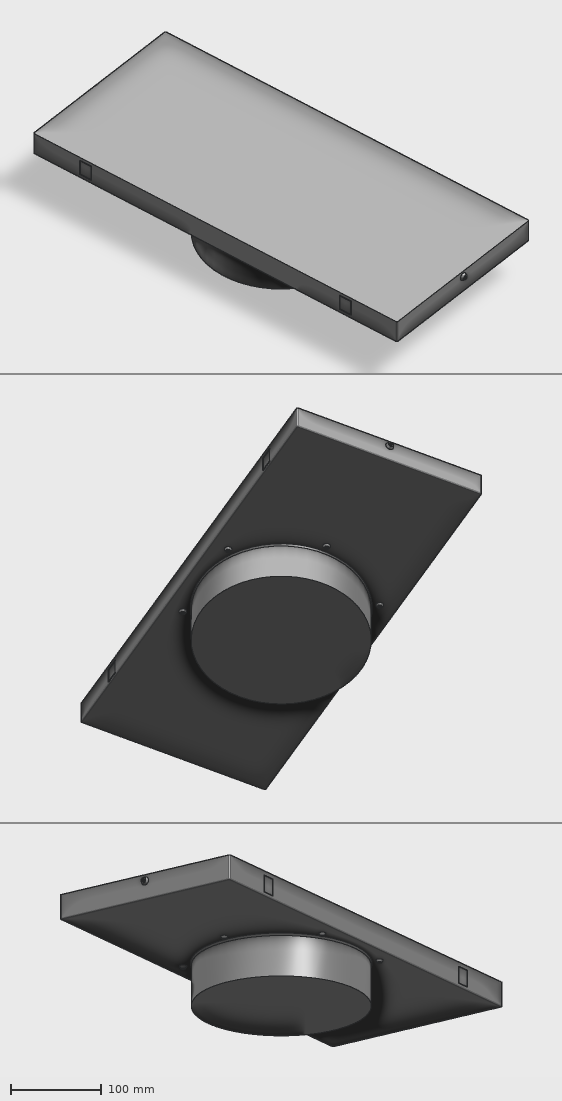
import cadquery as cq
import math

overall_length = 526.5
overall_width = 230.0
overall_height = 79

panel_thickness = 29.0
corner_radius = 1.5
bottom_edge_radius = 1.0

spigot_radius = 99.5
collar_radius = 100.5
collar_height = 2.5

head_taper = 1.5
head_embed = 1.0
socket_radius = 1.5
socket_depth = 1.5

side_head_radius = 5.0
side_head_height = 3.0
side_head_drop = 7.5

ring_head_radius = 4.0
ring_head_height = 2.5
ring_radius = 109.0
ring_count = 6

window_width = 16.5
window_height = 19.5
window_depth = 1.0
window_spacing = 371.0
window_drop = 15.0

panel_length = overall_length - 2 * side_head_height
spigot_bottom = -overall_height
collar_bottom = -panel_thickness - collar_height


def make_panel():
    """Panel with rounded vertical corners, a rounded bottom rim and a sharp top rim."""
    panel = cq.Workplane("XY").box(
        panel_length, overall_width, panel_thickness, centered=(True, True, False)
    )
    panel = panel.translate((0, 0, -panel_thickness))
    panel = panel.edges("|Z").fillet(corner_radius)
    return panel.faces("<Z").edges().fillet(bottom_edge_radius)


def make_spigot():
    """Solid round spigot whose collar flares out where it meets the panel."""
    profile = [
        (0, -panel_thickness),
        (collar_radius, -panel_thickness),
        (spigot_radius, collar_bottom),
        (spigot_radius, spigot_bottom),
        (0, spigot_bottom),
    ]
    return cq.Workplane("XZ").polyline(profile).close().revolve(360, (0, 0, 0), (0, 1, 0))


def make_screw_head(position, direction, radius, height):
    """Tapered head with a round socket, on a short shank sunk into the panel."""
    seat = cq.Workplane(cq.Plane(origin=position, normal=direction))
    shank = seat.circle(radius).extrude(-head_embed)
    head = seat.circle(radius).workplane(offset=height).circle(radius - head_taper).loft()
    socket = seat.workplane(offset=height).circle(socket_radius).extrude(-socket_depth)
    return shank.union(head).cut(socket)


def make_side_screws():
    """Screw heads on the two short sides of the panel."""
    heads = cq.Workplane("XY")
    for side in (-1, 1):
        position = (side * panel_length / 2, 0, -side_head_drop)
        heads = heads.add(
            make_screw_head(position, (side, 0, 0), side_head_radius, side_head_height)
        )
    return heads.combine()


def make_ring_screws():
    """Evenly spaced screw heads on the underside, around the spigot."""
    heads = cq.Workplane("XY")
    for index in range(ring_count):
        angle = 2 * math.pi * index / ring_count
        x = ring_radius * math.cos(angle)
        y = ring_radius * math.sin(angle)
        position = (x, y, -panel_thickness)
        heads = heads.add(
            make_screw_head(position, (0, 0, -1), ring_head_radius, ring_head_height)
        )
    return heads.combine()


def make_window_cutters():
    """Blocks centred on the long side faces, so that half of each block cuts in."""
    return (
        cq.Workplane("XY")
        .workplane(offset=-window_drop)
        .rarray(window_spacing, overall_width, 2, 2)
        .box(window_width, 2 * window_depth, window_height)
    )


result = (
    make_panel()
    .cut(make_window_cutters())
    .union(make_spigot())
    .union(make_side_screws())
    .union(make_ring_screws())
)